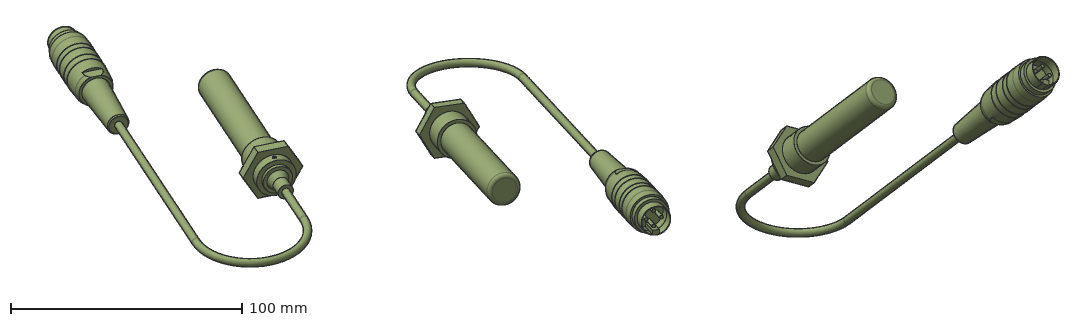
import cadquery as cq
import math

TILT = -13.1

CABLE_D = 3.7
BEND_R = 25.0
SENSOR_Y = BEND_R
PLUG_Y = -BEND_R

BARREL_D = 15.1
COLLAR_D = 18.2
SHOULDER_D = 13.5
CONE_BASE_D = 10.0
OUTLET_D = 7.0
FACE_X = -112.8
COLLAR_X = -53.2
COLLAR_END_X = -34.3
SHOULDER_END_X = -32.5
CONE_END_X = -29.0
OUTLET_X = -22.8
FACE_FILLET = 1.8
LAMP_D = 1.7
LAMP_X = -36.9
LAMP_DEPTH = 0.5

NUT_FLATS = 24.0
NUT_X = -43.5
NUT_THICKNESS = 4.7

SPIGOT_D = 13.5
SPIGOT_BORE_D = 13.0
SPIGOT_BORE_DEPTH = 9.0
NECK_D = 16.0
GRIP_D = 18.5
GRIP_FRONT_D = 17.9
GROOVE_DEPTH = 0.2
GRIP_REAR_D = 17.3
GRIP_END_D = 15.7
SPIGOT_X = -166.5
NECK_X = -161.5
GRIP_X = -158.5
GRIP_FULL_X = -154.2
GROOVE_SPANS = [(-148.7, -145.4), (-139.9, -136.0)]
GRIP_CHAMFER_X = -127.0
GRIP_END_X = -124.5

FLAT_X = -129.3
FLAT_HEIGHT = 7.5

KEY_WIDTH = 3.1
KEY_TOP_Z = -4.3

PIN_COUNT = 4
PIN_D = 1.7
PIN_CIRCLE_R = 3.5
PIN_LENGTH = 6.3

BOOT_FRONT_D = 13.0
BOOT_END_D = 10.0
BOOT_END_X = -96.3
BOOT_CHAMFER = 0.5


def turned(profile, y):
    """Solid turned about the line through y along X from (x, diameter) points."""
    outline = [(profile[0][0], 0)]
    outline += [(x, d / 2) for x, d in profile]
    outline += [(profile[-1][0], 0)]
    solid = cq.Workplane("XY").polyline(outline).close().revolve(360, (0, 0, 0), (1, 0, 0))
    return solid.translate((0, y, 0))


def rod(x, y, length, diameter, z=0):
    """Cylinder along +X that starts at (x, y, z)."""
    return cq.Workplane("YZ", origin=(x, y, z)).circle(diameter / 2).extrude(length)


def make_sensor():
    body = turned(
        [
            (FACE_X, BARREL_D),
            (COLLAR_X, BARREL_D),
            (COLLAR_X, COLLAR_D),
            (COLLAR_END_X, COLLAR_D),
            (COLLAR_END_X, SHOULDER_D),
            (SHOULDER_END_X, SHOULDER_D),
            (SHOULDER_END_X, CONE_BASE_D),
            (CONE_END_X, OUTLET_D),
            (OUTLET_X, OUTLET_D),
        ],
        SENSOR_Y,
    )
    body = body.faces("<X").edges().fillet(FACE_FILLET)
    lamp_floor = COLLAR_D / 2 - LAMP_DEPTH
    lamp = cq.Workplane("XY", origin=(LAMP_X, SENSOR_Y, lamp_floor)).circle(LAMP_D / 2).extrude(COLLAR_D)
    return body.cut(lamp)


def make_nut():
    corners_d = NUT_FLATS / math.cos(math.radians(30))
    blank = cq.Workplane("YZ", origin=(NUT_X, SENSOR_Y, 0)).polygon(6, corners_d).extrude(NUT_THICKNESS)
    return blank.cut(rod(NUT_X, SENSOR_Y, NUT_THICKNESS, COLLAR_D))


def make_cable():
    start = (OUTLET_X, SENSOR_Y)
    path = (
        cq.Workplane("XY")
        .moveTo(*start)
        .lineTo(0, SENSOR_Y)
        .threePointArc((BEND_R, 0), (0, PLUG_Y))
        .lineTo(BOOT_END_X, PLUG_Y)
    )
    return cq.Workplane("YZ", origin=(*start, 0)).circle(CABLE_D / 2).sweep(path)


def make_spigot_cavity():
    """Space inside the spigot: its bore without the coding key and the contact pins."""
    cavity = rod(SPIGOT_X, PLUG_Y, SPIGOT_BORE_DEPTH, SPIGOT_BORE_D)
    key = (
        cq.Workplane("XY")
        .box(SPIGOT_BORE_DEPTH, KEY_WIDTH, SPIGOT_BORE_D, centered=(False, True, False))
        .translate((SPIGOT_X, PLUG_Y, KEY_TOP_Z - SPIGOT_BORE_D))
    )
    cavity = cavity.cut(key)
    pin_tip_x = SPIGOT_X + SPIGOT_BORE_DEPTH - PIN_LENGTH
    for i in range(PIN_COUNT):
        angle = 2 * math.pi * i / PIN_COUNT
        pin_y = PLUG_Y + PIN_CIRCLE_R * math.cos(angle)
        pin_z = PIN_CIRCLE_R * math.sin(angle)
        cavity = cavity.cut(rod(pin_tip_x, pin_y, PIN_LENGTH, PIN_D, pin_z))
    return cavity


def make_plug():
    profile = [
        (SPIGOT_X, SPIGOT_D),
        (NECK_X, SPIGOT_D),
        (NECK_X, NECK_D),
        (GRIP_X, NECK_D),
        (GRIP_X, GRIP_FRONT_D),
        (GRIP_FULL_X, GRIP_D),
    ]
    groove_d = GRIP_D - 2 * GROOVE_DEPTH
    for start, end in GROOVE_SPANS:
        profile += [(start, GRIP_D), (start, groove_d), (end, groove_d), (end, GRIP_D)]
    profile += [(GRIP_CHAMFER_X, GRIP_REAR_D), (GRIP_END_X, GRIP_END_D)]
    body = turned(profile, PLUG_Y)
    body = body.cut(make_spigot_cavity())
    flat = (
        cq.Workplane("XY")
        .box(GRIP_END_X - FLAT_X, GRIP_D, GRIP_D, centered=(False, True, False))
        .translate((FLAT_X, PLUG_Y, FLAT_HEIGHT))
    )
    return body.cut(flat).cut(flat.mirror("XY"))


def make_boot():
    return turned(
        [
            (GRIP_END_X, BOOT_FRONT_D),
            (BOOT_END_X - BOOT_CHAMFER, BOOT_END_D),
            (BOOT_END_X, BOOT_END_D - 2 * BOOT_CHAMFER),
        ],
        PLUG_Y,
    )


bodies = [make_sensor(), make_nut(), make_cable(), make_plug(), make_boot()]
result = cq.Compound.makeCompound([b.rotate((0, 0, 0), (0, 0, 1), TILT).val() for b in bodies])